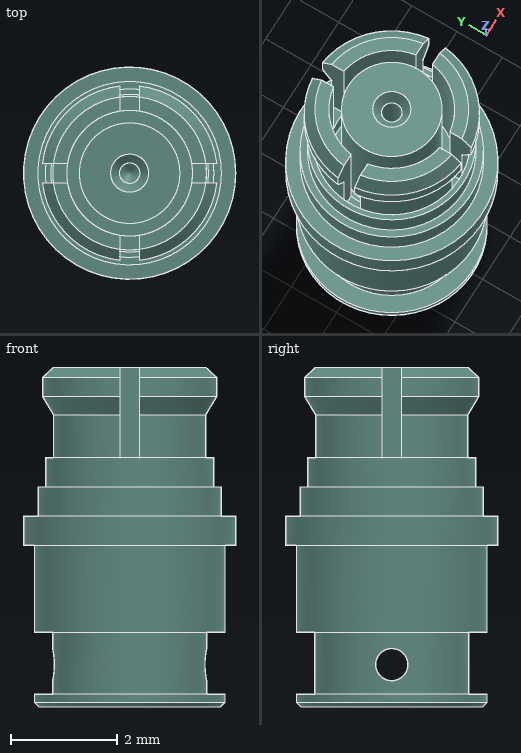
import cadquery as cq

total_height = 6.4
base_chamfer_top = 0.09
base_flange_top = 0.24
barrel_bottom = 1.41
collar_bottom = 3.045
step_height = 0.55
collar_top = collar_bottom + step_height
middle_step_top = collar_top + step_height
sleeve_top = middle_step_top + step_height
lip_bottom = 5.505
lip_edge_bottom = 5.85
lip_edge_top = 6.21

collar_radius = 2.0
barrel_radius = 1.8
base_radius = barrel_radius - base_chamfer_top
waist_radius = 1.45
middle_step_radius = 1.73
sleeve_radius = 1.59
sleeve_bore_radius = 1.485
lip_radius = 1.65
finger_radius = 1.445
bore_radius = 1.185

slot_width = 0.365
slot_floor = middle_step_top
sleeve_recess_floor = collar_top
bore_floor = collar_top

cross_hole_diameter = 0.6
cross_hole_height = 0.8

insulator_radius = 0.95
lead_in_radius = 0.36
socket_radius = 0.19
lead_in_depth = lead_in_radius - socket_radius
socket_depth = 1.28
socket_tip_depth = 0.13


def revolve_profile(points):
    """Revolve a closed (radius, height) outline about the Z axis."""
    return cq.Workplane("XZ").polyline(points).close().revolve(360, (0, 0), (0, 1))


def make_housing():
    """Stepped barrel whose slotted upper end forms four contact fingers."""
    housing = revolve_profile([
        (0, 0),
        (base_radius, 0),
        (barrel_radius, base_chamfer_top),
        (barrel_radius, base_flange_top),
        (waist_radius, base_flange_top),
        (waist_radius, barrel_bottom),
        (barrel_radius, barrel_bottom),
        (barrel_radius, collar_bottom),
        (collar_radius, collar_bottom),
        (collar_radius, collar_top),
        (middle_step_radius, collar_top),
        (middle_step_radius, middle_step_top),
        (sleeve_radius, middle_step_top),
        (sleeve_radius, sleeve_top),
        (sleeve_bore_radius, sleeve_top),
        (sleeve_bore_radius, sleeve_recess_floor),
        (finger_radius, sleeve_recess_floor),
        (finger_radius, lip_bottom),
        (lip_radius, lip_edge_bottom),
        (lip_radius, lip_edge_top),
        (finger_radius, total_height),
        (bore_radius, total_height),
        (bore_radius, bore_floor),
        (0, bore_floor),
    ])
    return cut_cross_hole(cut_finger_slots(housing))


def cut_finger_slots(housing):
    """Cut two crossing slots that stay inside the bore of the sleeve below its rim."""
    slot_space = revolve_profile([
        (0, slot_floor),
        (sleeve_bore_radius, slot_floor),
        (sleeve_bore_radius, sleeve_top),
        (collar_radius, sleeve_top),
        (collar_radius, total_height),
        (0, total_height),
    ])
    for angle in (0, 90):
        slab = (
            cq.Workplane("XY", origin=(0, 0, slot_floor))
            .rect(2 * collar_radius, slot_width)
            .extrude(total_height - slot_floor)
            .rotate((0, 0, 0), (0, 0, 1), angle)
        )
        housing = housing.cut(slab.intersect(slot_space))
    return housing


def cut_cross_hole(housing):
    """Drill the waist right through along X."""
    hole = (
        cq.Workplane("YZ", origin=(-collar_radius, 0, cross_hole_height))
        .circle(cross_hole_diameter / 2)
        .extrude(2 * collar_radius)
    )
    return housing.cut(hole)


def make_insulator():
    """Round post standing on the bore floor, with a cone-bottomed socket in its top."""
    socket_floor = total_height - socket_depth
    return revolve_profile([
        (0, bore_floor),
        (insulator_radius, bore_floor),
        (insulator_radius, total_height),
        (lead_in_radius, total_height),
        (socket_radius, total_height - lead_in_depth),
        (socket_radius, socket_floor),
        (0, socket_floor - socket_tip_depth),
    ])


housing = make_housing()
insulator = make_insulator()

result = cq.Compound.makeCompound([housing.val(), insulator.val()])